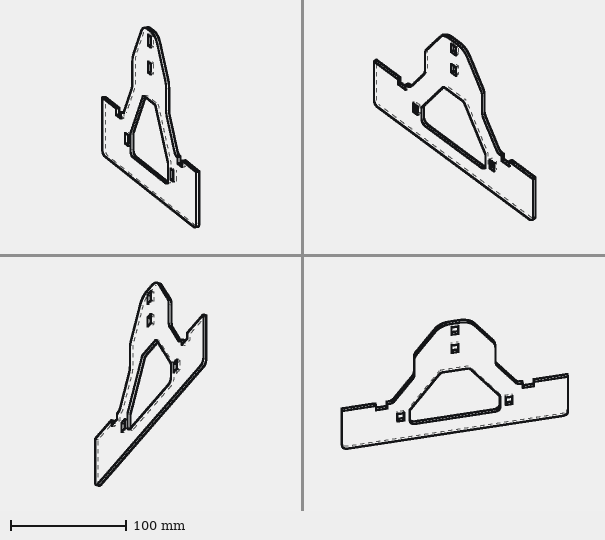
import cadquery as cq

width = 200.0
height = 150.0
thickness = 3.0
half_width = width / 2

base_height = 53.0
shoulder_foot_x = 55.5
neck_half_width = 36.0
neck_bottom_z = 85.0
neck_top_z = 112.2
head_half_width = 13.0
base_radius = 5.0
foot_radius = 5.0
neck_bottom_radius = 10.0
neck_top_radius = 15.0
head_radius = 15.0

notch_width = 10.0
notch_depth = 6.0
notch_center_x = 65.0

window_half_width = 40.0
window_top_half_width = 12.8
window_bottom_z = 20.0
window_slope_z = 40.0
window_top_z = 85.0
window_bottom_radius = 5.0
window_top_radius = 3.0
window_slope_radius = 3.0

slot_width = 6.0
slot_height = 10.0
side_slot_x = 48.0
side_slot_z = 32.0
head_slot_z = 140.0
neck_slot_z = 115.0
slot_centers = [
    (-side_slot_x, side_slot_z),
    (side_slot_x, side_slot_z),
    (0, neck_slot_z),
    (0, head_slot_z),
]


def symmetric_prism(corners):
    """Extrude an outline mirrored about X = 0 from its right-hand (x, z, radius) corners."""
    right = [(x, z) for x, z, _ in corners]
    left = [(-x, z) for x, z in reversed(right)]
    prism = (
        cq.Workplane("XZ")
        .polyline(right + left)
        .close()
        .extrude(thickness / 2, both=True)
    )
    for x, z, radius in corners:
        if radius > 0:
            for side_x in (x, -x):
                corner_edge = cq.selectors.NearestToPointSelector((side_x, 0, z))
                prism = prism.edges("|Y").edges(corner_edge).fillet(radius)
    return prism


def rectangular_cutters(centers, size_x, size_z):
    """Blocks that pass through the plate thickness at the given (x, z) centers."""
    return (
        cq.Workplane("XZ")
        .pushPoints(centers)
        .rect(size_x, size_z)
        .extrude(thickness, both=True)
    )


plate = symmetric_prism([
    (half_width, 0, base_radius),
    (half_width, base_height, 0),
    (shoulder_foot_x, base_height, foot_radius),
    (neck_half_width, neck_bottom_z, neck_bottom_radius),
    (neck_half_width, neck_top_z, neck_top_radius),
    (head_half_width, height, head_radius),
])

window = symmetric_prism([
    (window_half_width, window_bottom_z, window_bottom_radius),
    (window_half_width, window_slope_z, window_slope_radius),
    (window_top_half_width, window_top_z, window_top_radius),
])

notch_centers = [(-notch_center_x, base_height), (notch_center_x, base_height)]
notches = rectangular_cutters(notch_centers, notch_width, 2 * notch_depth)
slots = rectangular_cutters(slot_centers, slot_width, slot_height)

result = plate.cut(window).cut(notches).cut(slots)